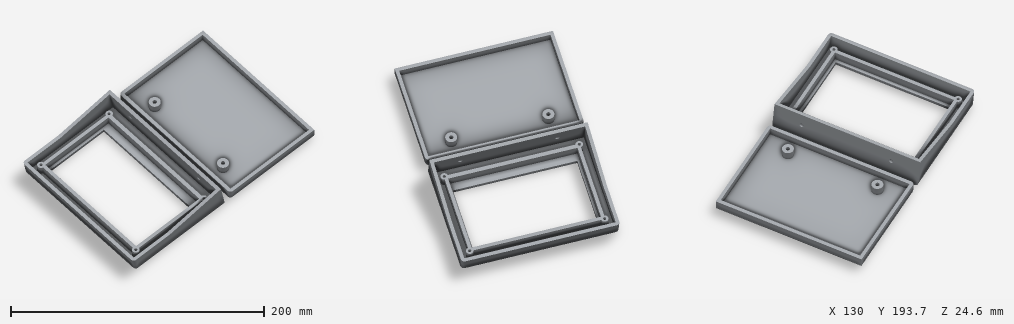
import cadquery as cq
import math

width = 130.0
total_length = 193.7
side_wall = 3.0
edge_radius = 3.0
screw_spacing = 79.8
screw_hole_diameter = 3.5
rear_y = total_length / 2
front_y = -total_length / 2

tray_length = 90.0
tray_height = 9.9
tray_floor = 3.0
tray_end_wall = 3.1
pillar_diameter = 9.5
pillar_height = 7.2
pillar_from_front = 15.3

lean = math.tan(math.radians(10))
bezel_height = 24.6
bezel_front_height = 15.0
bezel_floor = 3.0
bezel_rear_y = 1.4
bezel_end_wall = 3.1
rear_hole_z = 14.3

frame_center_y = -49.0
frame_width = 111.8
frame_length = 74.0
frame_top = 10.8
recess_width = 106.2
recess_length = 67.6
recess_center_y = -49.2
window_width = 102.0
window_length = 58.3
window_center_y = -51.3
boss_diameter = 6.0
boss_hole_diameter = 2.5
boss_spacing_x = 110.8
boss_spacing_y = 73.0


def block(size_x, size_y, bottom, top, center_y):
    """Upright block centered on X."""
    return (
        cq.Workplane("XY", origin=(0, center_y, bottom))
        .rect(size_x, size_y)
        .extrude(top - bottom)
    )


def cylinders(points, diameter, bottom, top):
    """Upright cylinders at the given XY points."""
    return (
        cq.Workplane("XY", origin=(0, 0, bottom))
        .pushPoints(points)
        .circle(diameter / 2)
        .extrude(top - bottom)
    )


def side_profile(points, profile_width):
    """YZ outline extruded symmetrically along X."""
    return cq.Workplane("YZ").polyline(points).close().extrude(profile_width / 2, both=True)


def make_tray():
    center_y = rear_y - tray_length / 2
    shell = block(width, tray_length, 0, tray_height, center_y)
    shell = shell.edges("|Z and <Y").fillet(edge_radius)
    shell = shell.faces("<Z").edges().fillet(edge_radius)
    cavity_length = tray_length - 2 * tray_end_wall
    cavity = block(width - 2 * side_wall, cavity_length, tray_floor, tray_height, center_y)

    pillar_y = rear_y - tray_length + pillar_from_front
    pillar_points = [(side * screw_spacing / 2, pillar_y) for side in (-1, 1)]
    pillar_top = tray_floor + pillar_height
    pillars = cylinders(pillar_points, pillar_diameter, tray_floor, pillar_top)
    holes = cylinders(pillar_points, screw_hole_diameter, 0, pillar_top)
    return shell.cut(cavity).union(pillars).cut(holes)


def make_bezel_shell():
    base_front_y = front_y + bezel_front_height * lean
    rear_top_y = bezel_rear_y - bezel_height * lean
    bend_y = rear_top_y - (bezel_height - bezel_front_height) / lean
    outline = [
        (bezel_rear_y, 0),
        (rear_top_y, bezel_height),
        (bend_y, bezel_front_height),
        (front_y, bezel_front_height),
        (base_front_y, 0),
    ]
    shell = side_profile(outline, width)
    shell = shell.faces("<Y").edges("not |X").fillet(edge_radius)
    shell = shell.faces("<Z").edges("not >Y").fillet(edge_radius)

    inner_rear_y = bezel_rear_y - bezel_end_wall
    inner_front_y = base_front_y + bezel_end_wall
    cavity_outline = [
        (inner_rear_y - bezel_floor * lean, bezel_floor),
        (inner_rear_y - bezel_height * lean, bezel_height),
        (inner_front_y - bezel_height * lean, bezel_height),
        (inner_front_y - bezel_floor * lean, bezel_floor),
    ]
    return shell.cut(side_profile(cavity_outline, width - 2 * side_wall))


def make_bezel():
    boss_points = [
        (side * boss_spacing_x / 2, frame_center_y + end * boss_spacing_y / 2)
        for side in (-1, 1)
        for end in (-1, 1)
    ]
    frame = block(frame_width, frame_length, bezel_floor, frame_top, frame_center_y)
    bosses = cylinders(boss_points, boss_diameter, bezel_floor, frame_top)
    boss_holes = cylinders(boss_points, boss_hole_diameter, bezel_floor, frame_top)
    recess = block(recess_width, recess_length, bezel_floor, frame_top, recess_center_y)
    window = block(window_width, window_length, 0, bezel_floor, window_center_y)
    bezel = make_bezel_shell().union(frame).union(bosses)
    bezel = bezel.cut(boss_holes).cut(recess).cut(window)

    hole_depth = bezel_end_wall + bezel_height * lean
    rear_holes = (
        cq.Workplane("XZ", origin=(0, bezel_rear_y, rear_hole_z))
        .pushPoints([(side * screw_spacing / 2, 0) for side in (-1, 1)])
        .circle(screw_hole_diameter / 2)
        .extrude(hole_depth)
    )
    return bezel.cut(rear_holes)


tray = make_tray()
bezel = make_bezel()
result = cq.Compound.makeCompound([tray.val(), bezel.val()])